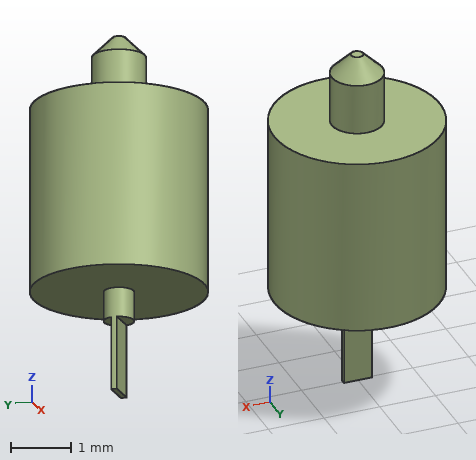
import cadquery as cq

TOTAL_HEIGHT = 6.23
BLADE_LENGTH = 1.265
TAIL_LENGTH = 0.51
HOUSING_HEIGHT = 3.19
TIP_HEIGHT = 0.35

HOUSING_DIAMETER = 2.97
PLUNGER_DIAMETER = 0.91
TIP_FLAT_DIAMETER = 0.21
TAIL_DIAMETER = 0.51
BLADE_THICKNESS = 0.1

tail_bottom = BLADE_LENGTH
housing_bottom = tail_bottom + TAIL_LENGTH
housing_top = housing_bottom + HOUSING_HEIGHT
tip_bottom = TOTAL_HEIGHT - TIP_HEIGHT


def make_housing():
    """Cylindrical housing with a through bore that fits the pin's tail."""
    return (
        cq.Workplane("XY", origin=(0, 0, housing_bottom))
        .circle(HOUSING_DIAMETER / 2)
        .circle(TAIL_DIAMETER / 2)
        .extrude(HOUSING_HEIGHT)
    )


def make_blade():
    """Blade at the lower end of the pin: the round tail cut down to two flats facing -Y and +Y."""
    round_stock = cq.Workplane("XY").circle(TAIL_DIAMETER / 2).extrude(BLADE_LENGTH)
    flat_slab = cq.Workplane("XY").rect(TAIL_DIAMETER, BLADE_THICKNESS).extrude(BLADE_LENGTH)
    return round_stock.intersect(flat_slab)


def make_pin():
    """Pin whose plunger shoulder rests on the housing and whose tail passes through it."""
    round_part = (
        cq.Workplane("XZ")
        .moveTo(0, tail_bottom)
        .lineTo(TAIL_DIAMETER / 2, tail_bottom)
        .lineTo(TAIL_DIAMETER / 2, housing_top)
        .lineTo(PLUNGER_DIAMETER / 2, housing_top)
        .lineTo(PLUNGER_DIAMETER / 2, tip_bottom)
        .lineTo(TIP_FLAT_DIAMETER / 2, TOTAL_HEIGHT)
        .lineTo(0, TOTAL_HEIGHT)
        .close()
        .revolve(360, (0, 0, 0), (0, 1, 0))
    )
    return round_part.union(make_blade())


housing = make_housing()
pin = make_pin()

result = cq.Compound.makeCompound([housing.val(), *pin.solids().vals()])